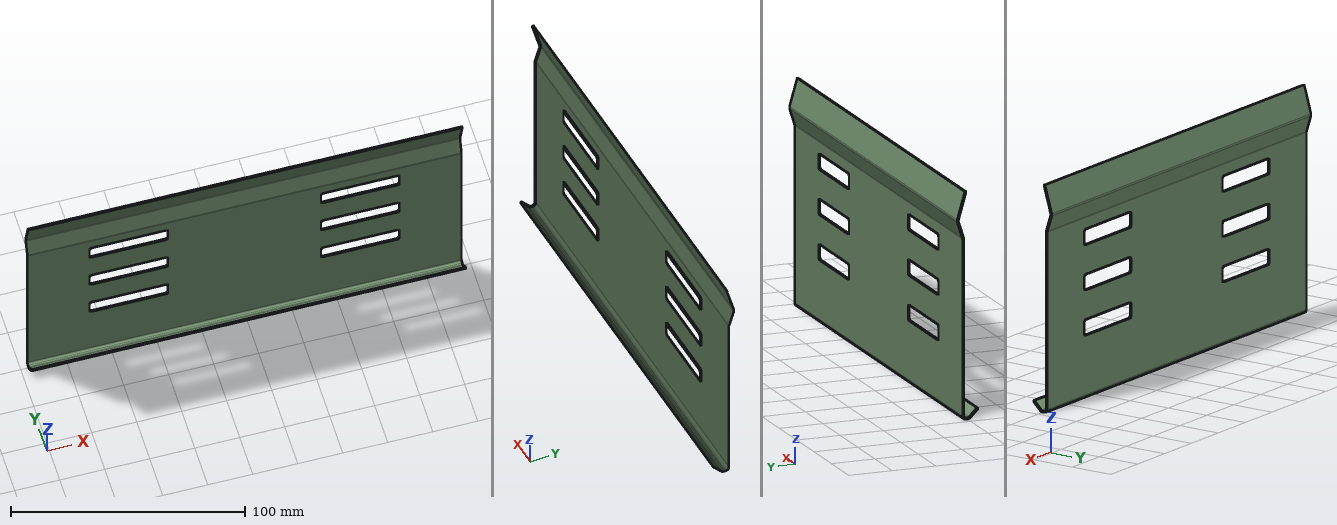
import cadquery as cq
import math

length = 193.0
height = 101.1
thickness = 0.7
inner_bend_radius = 1.0
outer_bend_radius = inner_bend_radius + thickness

neck_height = 80.5
crest_height = 88.4
crest_offset = 2.5
top_edge_offset = -1.2
hook_floor = 3.0
hook_reach = 7.3
hook_rise = hook_reach - hook_floor

slot_length = 35.0
slot_height = 7.0
slot_corner_radius = 1.2
slot_column_spacing = 102.9
slot_row_spacing = 20.0
middle_slot_height = 51.5

outer_path = [
    (top_edge_offset, height),
    (crest_offset, crest_height),
    (0, neck_height),
    (0, 0),
    (-hook_floor, 0),
    (-hook_reach, hook_rise),
]


def inward_normal(start, end):
    """Unit normal of a path segment, pointing to the inner sheet face."""
    dy = end[0] - start[0]
    dz = end[1] - start[1]
    span = math.hypot(dy, dz)
    return dz / span, -dy / span


def inner_face_path(path):
    """Path offset by the sheet thickness, with mitred folds and square ends."""
    normals = [inward_normal(a, b) for a, b in zip(path, path[1:])]
    before = [normals[0]] + normals
    after = normals + [normals[-1]]
    shifted = []
    for (y, z), n, m in zip(path, before, after):
        mitre = thickness / (1 + n[0] * m[0] + n[1] * m[1])
        shifted.append((y + mitre * (n[0] + m[0]), z + mitre * (n[1] + m[1])))
    return shifted


def folded_sheet():
    inner_path = inner_face_path(outer_path)
    profile = outer_path + inner_path[::-1]
    sheet = cq.Workplane("YZ").polyline(profile).close().extrude(length / 2, both=True)

    for fold in range(1, len(outer_path) - 1):
        radii = (outer_bend_radius, inner_bend_radius)
        if outer_path[fold] == (0, neck_height):
            radii = radii[::-1]
        for (y, z), radius in zip((outer_path[fold], inner_path[fold]), radii):
            nearest = cq.selectors.NearestToPointSelector((0, y, z))
            sheet = sheet.edges("|X").edges(nearest).fillet(radius)
    return sheet


def slot_cutters():
    return (
        cq.Workplane("XZ")
        .center(0, middle_slot_height)
        .rarray(slot_column_spacing, slot_row_spacing, 2, 3)
        .rect(slot_length, slot_height)
        .extrude(hook_reach, both=True)
        .edges("|Y")
        .fillet(slot_corner_radius)
    )


result = folded_sheet().cut(slot_cutters())